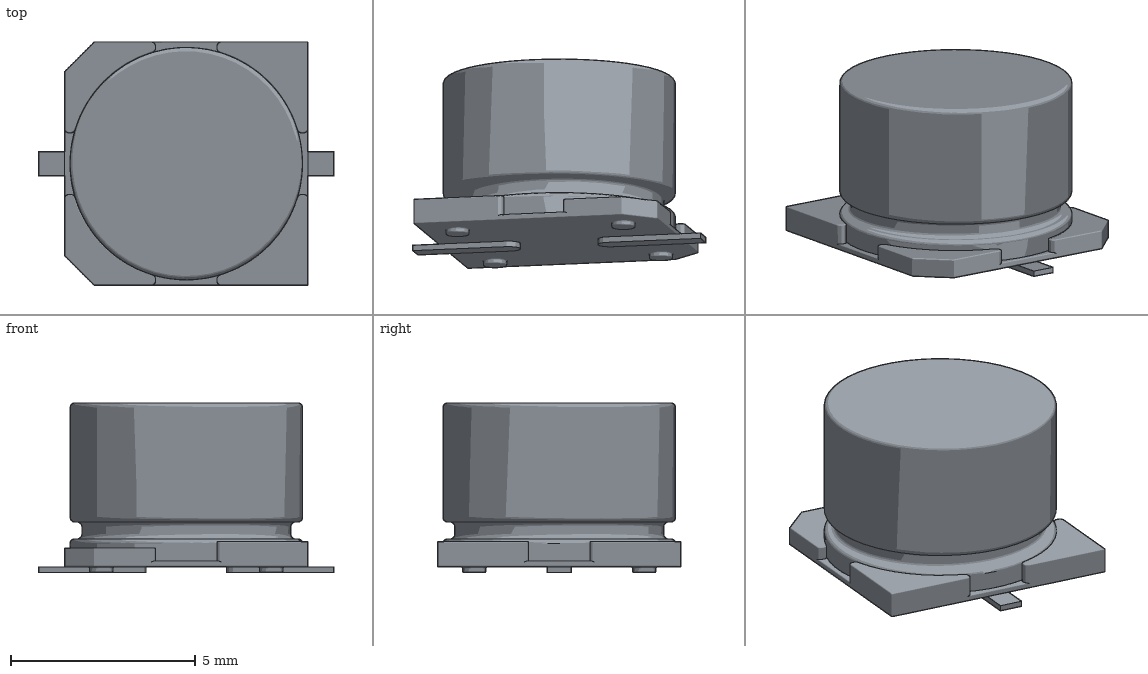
import cadquery as cq
import math

span = 8.0
height = 4.6
base_width = 6.6

lead_thickness = 0.15
lead_width = 0.66
lead_inner_end = 1.09
foot_diameter = 0.63
foot_offset = 2.3
foot_flare = 0.05
foot_round = 0.04

base_bottom = lead_thickness
floor_top = 0.31
low_post_top = 0.66
high_post_top = 0.84
corner_chamfer = 0.81
notch_half_width = 0.83
post_tip_round = 0.13
edge_round = 0.034

can_radius = 6.3 / 2
neck_radius = 5.67 / 2
top_round = 0.13
neck_top = 1.24
neck_bottom = 1.04
neck_round = 0.13


def base_outline(bottom, top):
    """Square base with chamfered corners on -X and slightly rounded vertical edges."""
    block = cq.Workplane("XY").workplane(offset=bottom).rect(base_width, base_width).extrude(top - bottom)
    block = block.edges("|Z and <X").chamfer(corner_chamfer)
    return block.edges("|Z").fillet(edge_round)


def base_plate():
    """Floor of the base, rounded along its upper and lower rims."""
    return base_outline(base_bottom, floor_top).faces("<Z or >Z").edges().fillet(edge_round)


def corner_post(x_side, y_side):
    """Post filling one corner of the base, hollowed to fit around the can."""
    bottom = (base_bottom + floor_top) / 2
    top = low_post_top if x_side < 0 else high_post_top
    half_width = base_width / 2
    size = half_width - notch_half_width
    centre = notch_half_width + size / 2
    quadrant = (
        cq.Workplane("XY")
        .workplane(offset=bottom)
        .center(x_side * centre, y_side * centre)
        .rect(size, size)
        .extrude(top - bottom)
    )
    recess = cq.Workplane("XY").workplane(offset=bottom).circle(can_radius).extrude(top - bottom)
    post = base_outline(bottom, top).intersect(quadrant).cut(recess)

    can_corner = math.sqrt(can_radius**2 - notch_half_width**2)
    middle = (bottom + top) / 2
    for reach in (half_width, can_corner):
        for x, y in ((notch_half_width, reach), (reach, notch_half_width)):
            near = cq.selectors.NearestToPointSelector((x_side * x, y_side * y, middle))
            post = post.edges(near).fillet(post_tip_round)
    return post.faces(">Z").edges().fillet(edge_round)


def can():
    """Turned can with a rounded top and a necked groove between two rounded lips."""
    groove_top = neck_top + neck_round
    groove_bottom = neck_bottom - neck_round
    lip_flat_radius = can_radius - neck_round
    neck_flat_radius = neck_radius + neck_round
    profile = (
        cq.Workplane("XZ")
        .moveTo(0, floor_top)
        .lineTo(can_radius, floor_top)
        .lineTo(can_radius, groove_bottom - neck_round)
        .tangentArcPoint((lip_flat_radius, groove_bottom), relative=False)
        .lineTo(neck_flat_radius, groove_bottom)
        .tangentArcPoint((neck_radius, neck_bottom), relative=False)
        .lineTo(neck_radius, neck_top)
        .tangentArcPoint((neck_flat_radius, groove_top), relative=False)
        .lineTo(lip_flat_radius, groove_top)
        .tangentArcPoint((can_radius, groove_top + neck_round), relative=False)
        .lineTo(can_radius, height)
        .lineTo(0, height)
        .close()
    )
    body = profile.revolve(360, (0, 0, 0), (0, 1, 0))
    return body.faces(">Z").edges().fillet(top_round)


def lead(side):
    """Flat lead with a rounded inner end."""
    half = lead_width / 2
    arc_start = side * (lead_inner_end + half)
    tip = side * span / 2
    return (
        cq.Workplane("XY")
        .moveTo(tip, half)
        .lineTo(arc_start, half)
        .threePointArc((side * lead_inner_end, 0), (arc_start, -half))
        .lineTo(tip, -half)
        .close()
        .extrude(lead_thickness)
    )


def foot(x_side, y_side):
    """Round foot with a rounded lower rim that flares out into the base."""
    radius = foot_diameter / 2
    diagonal = math.sqrt(0.5)
    flare_start = base_bottom - foot_flare
    rim = radius - foot_round
    profile = (
        cq.Workplane("XZ")
        .lineTo(rim, 0)
        .threePointArc((rim + foot_round * diagonal, foot_round * (1 - diagonal)), (radius, foot_round))
        .lineTo(radius, flare_start)
        .threePointArc(
            (radius + foot_flare * (1 - diagonal), flare_start + foot_flare * diagonal),
            (radius + foot_flare, base_bottom),
        )
        .lineTo(0, base_bottom)
        .close()
    )
    turned = profile.revolve(360, (0, 0, 0), (0, 1, 0))
    return turned.translate((x_side * foot_offset, y_side * foot_offset, 0))


result = base_plate()
for x_sign in (-1, 1):
    result = result.union(lead(x_sign))
    for y_sign in (-1, 1):
        result = result.union(corner_post(x_sign, y_sign))
        result = result.union(foot(x_sign, y_sign))
result = result.union(can())